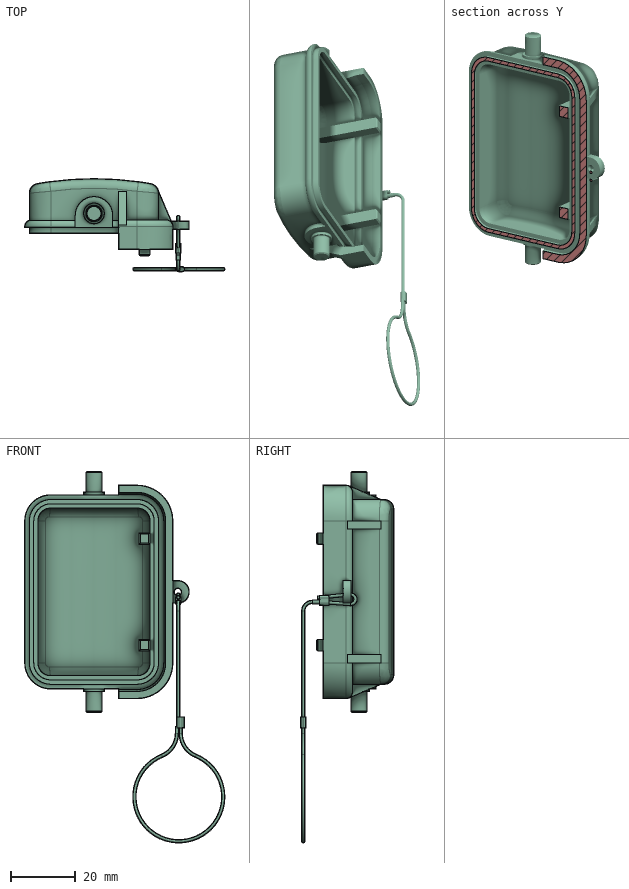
import cadquery as cq
import math


CORE_HALF_X = 13.35
CORE_HALF_Z = 21.95
CAVITY_OFFSET = 4.0
GASKET_OFFSET = 5.3
WALL_OFFSET = 6.65
LIP_OFFSET = 8.1
SHROUD_INNER_OFFSET = 8.85
SHROUD_OFFSET = 11.07
WALL_HALF_X = CORE_HALF_X + WALL_OFFSET
WALL_HALF_Z = CORE_HALF_Z + WALL_OFFSET
SHROUD_HALF_X = CORE_HALF_X + SHROUD_OFFSET

DOME_TOP_Y = 10.78
LIP_BACK_Y = -2.05
LIP_FRONT_Y = -4.4
RIM_Y = -6.2
SHROUD_STEP_Y = -8.4
SHROUD_FRONT_Y = -11.1

DOME_RADIUS = 100.0
CROWN_STOCK = 1.0
WALL_THICKNESS = WALL_OFFSET - CAVITY_OFFSET
FLOOR_THICKNESS = 2.3
DOME_FILLET = 3.0
CAVITY_FILLET = 2.7
LIP_FILLET = 2.0

SHROUD_LEFT_X = 7.6
GROOVE_TAPER_INSET = 0.6
RIB_WIDTH = 2.5
RIB_TOP_Y = 6.8
RIB_FOOT_Y = -3.5
RIB_SPREAD = 4.4
RIB_ROOT = 1.0

PIN_RADIUS = 2.53
PIN_END_Z = 37.25
PIN_CHAMFER = 0.35
COLLAR_RADIUS = 3.2
COLLAR_END_Z = 30.9
BOSS_HALF_WIDTH = 5.8
BOSS_TOP_Y = 5.2
BOSS_END_Z = CORE_HALF_Z + LIP_OFFSET

PEG_INNER_X = 13.95
PEG_OUTER_X = CORE_HALF_X + CAVITY_OFFSET
PEG_CENTER_Z = 16.5
PEG_HEIGHT = 3.6
PEG_FRONT_Y = -13.15
PEG_ROOT_Y = 8.0
PEG_END_CHAMFER = 0.4

TAB_CENTER_X = 25.95
TAB_RADIUS = 3.5
TAB_BACK_Y = -2.4
TAB_FRONT_Y = -4.9
TAB_HOLE_RADIUS = 1.1

WIRE_RADIUS = 0.5
WIRE_X = 26.1
WIRE_Y = -17.25
EYE_RADIUS = 1.5
EYE_CENTER_Y = -2.6
EYE_CENTER_Z = -2.3
UPPER_SLEEVE_Y = (-9.3, -12.2)
UPPER_SLEEVE_Z = (-4.2, -1.1)
SLEEVE_THICKNESS = 1.6
SLEEVE_FILLET = 0.72
TAIL_END_Y = -12.9
TAIL_Z = -1.7
LEAD_Z = -3.1
COLLET_RADIUS = 0.65
COLLET_END_Y = -14.4
LOWER_SLEEVE_X = (25.6, 27.95)
LOWER_SLEEVE_Z = (-42.1, -38.7)
RING_RADIUS = 13.75
RING_CENTER_X = 26.26
RING_CENTER_Z = -63.44
NECK_RADIUS = 7.5
LEG_HALF_SPACING = 0.6


def outline_prism(offset, start_y, end_y, taper=0):
    """Prism on the core outline grown by offset, from start_y to end_y, narrowing by the taper angle."""
    outline = (
        cq.Sketch()
        .rect(2 * (CORE_HALF_X + offset), 2 * (CORE_HALF_Z + offset))
        .vertices()
        .fillet(offset)
    )
    start_plane = cq.Workplane("XZ", origin=(0, start_y, 0))
    return start_plane.placeSketch(outline).extrude(start_y - end_y, taper=taper)


def block(x_range, y_range, z_range):
    """Axis-aligned box between pairs of limits."""
    sizes = [max(limits) - min(limits) for limits in (x_range, y_range, z_range)]
    corner = tuple(min(limits) for limits in (x_range, y_range, z_range))
    return cq.Workplane("XY", origin=corner).box(*sizes, centered=False)


def rod(start, end, radius):
    """Round rod between two points."""
    direction = cq.Vector(*end) - cq.Vector(*start)
    return cq.Workplane(cq.Solid.makeCylinder(radius, direction.Length, cq.Vector(*start), direction))


def domed_prism(offset, crown_y, front_y, edge_fillet):
    """Outline prism with a back face arched about the Z direction and rounded all round."""
    arch = (
        cq.Workplane("XY", origin=(0, crown_y - DOME_RADIUS, 0))
        .circle(DOME_RADIUS)
        .extrude(CORE_HALF_Z + SHROUD_OFFSET, both=True)
    )
    crowned = outline_prism(offset, crown_y + CROWN_STOCK, front_y).intersect(arch)
    back_face = crowned.faces(cq.selectors.NearestToPointSelector((0, crown_y, 0)))
    return back_face.edges().fillet(edge_fillet)


def flange(offset, front_y):
    """Plate behind front_y whose back edge is rounded."""
    return outline_prism(offset, LIP_BACK_Y, front_y).faces(">Y").edges().fillet(LIP_FILLET)


def make_shroud():
    """Raised half-wall around the +X side, open toward -X."""
    shroud = flange(SHROUD_OFFSET, SHROUD_FRONT_Y)
    left_part = block(
        (-SHROUD_HALF_X, SHROUD_LEFT_X),
        (SHROUD_FRONT_Y, LIP_BACK_Y),
        (-CORE_HALF_Z - SHROUD_OFFSET, CORE_HALF_Z + SHROUD_OFFSET),
    )
    mouth = outline_prism(SHROUD_INNER_OFFSET, SHROUD_STEP_Y, SHROUD_FRONT_Y)
    taper = math.degrees(math.atan(GROOVE_TAPER_INSET / (LIP_FRONT_Y - SHROUD_STEP_Y)))
    groove = outline_prism(SHROUD_INNER_OFFSET, SHROUD_STEP_Y, LIP_FRONT_Y, taper)
    return shroud.cut(left_part).cut(mouth).cut(groove)


def make_rib_profile(workplane, wall):
    """Triangular rib outline standing on a wall, with local axes (distance outward, Y)."""
    return workplane.polyline(
        [
            (wall - RIB_ROOT, RIB_TOP_Y),
            (wall, RIB_TOP_Y),
            (wall + RIB_SPREAD, RIB_FOOT_Y),
            (wall - RIB_ROOT, RIB_FOOT_Y),
        ]
    ).close()


def make_ribs():
    """Ribs bracing the shroud against the +Z and -Z walls and, near both corners, the +X wall."""
    upper_plane = cq.Plane(origin=(SHROUD_LEFT_X, 0, 0), xDir=(0, 0, 1), normal=(-1, 0, 0))
    upper = make_rib_profile(cq.Workplane(upper_plane), WALL_HALF_Z).extrude(-RIB_WIDTH)
    side = make_rib_profile(cq.Workplane("XY", origin=(0, 0, CORE_HALF_Z)), WALL_HALF_X).extrude(-RIB_WIDTH)
    upper_ribs = upper.union(side)
    return upper_ribs.union(upper_ribs.mirror("XY"))


def make_upper_pin():
    """Trunnion pin with its collar and D-shaped boss on the +Z wall."""
    root_z = WALL_HALF_Z - WALL_THICKNESS / 2
    arc_center_y = BOSS_TOP_Y - BOSS_HALF_WIDTH
    boss = (
        cq.Workplane("XY", origin=(0, 0, root_z))
        .moveTo(-BOSS_HALF_WIDTH, LIP_FRONT_Y)
        .lineTo(-BOSS_HALF_WIDTH, arc_center_y)
        .threePointArc((0, BOSS_TOP_Y), (BOSS_HALF_WIDTH, arc_center_y))
        .lineTo(BOSS_HALF_WIDTH, LIP_FRONT_Y)
        .close()
        .extrude(BOSS_END_Z - root_z)
    )
    collar = rod((0, 0, root_z), (0, 0, COLLAR_END_Z), COLLAR_RADIUS)
    pin = rod((0, 0, root_z), (0, 0, PIN_END_Z), PIN_RADIUS).faces(">Z").chamfer(PIN_CHAMFER)
    return boss.union(collar).union(pin)


def make_upper_peg():
    """Square locating peg that stands on the cavity floor against the +X cavity wall."""
    peg = block(
        (PEG_INNER_X, PEG_OUTER_X),
        (PEG_FRONT_Y, PEG_ROOT_Y),
        (PEG_CENTER_Z - PEG_HEIGHT / 2, PEG_CENTER_Z + PEG_HEIGHT / 2),
    )
    return peg.faces("<Y").chamfer(PEG_END_CHAMFER)


def make_tab():
    """Round-ended tab on the +X side with the lanyard hole, kept out of the groove inside the shroud."""
    root_x = WALL_HALF_X
    plate = block((root_x, TAB_CENTER_X), (TAB_FRONT_Y, TAB_BACK_Y), (-TAB_RADIUS, TAB_RADIUS))
    nose = rod((TAB_CENTER_X, TAB_BACK_Y, 0), (TAB_CENTER_X, TAB_FRONT_Y, 0), TAB_RADIUS)
    hole = rod((TAB_CENTER_X, TAB_BACK_Y, 0), (TAB_CENTER_X, TAB_FRONT_Y, 0), TAB_HOLE_RADIUS)
    groove_clearance = block(
        (root_x, SHROUD_HALF_X - LIP_FILLET), (TAB_FRONT_Y, LIP_FRONT_Y), (-TAB_RADIUS, TAB_RADIUS)
    )
    return plate.union(nose).cut(hole).cut(groove_clearance)


def make_wire(path, start_y, start_z):
    """Round wire swept along a path in the plane X = WIRE_X that starts along the Y direction."""
    return cq.Workplane("XZ", origin=(WIRE_X, start_y, start_z)).circle(WIRE_RADIUS).sweep(path)


def make_eye():
    """Wire eye through the tab hole, its two ends and the upper sleeve that clamps them."""
    sleeve_front = UPPER_SLEEVE_Y[1]
    upper_z = EYE_CENTER_Z + EYE_RADIUS
    lower_z = EYE_CENTER_Z - EYE_RADIUS
    bend = (
        cq.Workplane("YZ", origin=(WIRE_X, 0, 0))
        .moveTo(EYE_CENTER_Y, upper_z)
        .threePointArc((EYE_CENTER_Y + EYE_RADIUS, EYE_CENTER_Z), (EYE_CENTER_Y, lower_z))
    )
    eye = make_wire(bend, EYE_CENTER_Y, upper_z)
    for eye_z, end_z in ((upper_z, TAIL_Z), (lower_z, LEAD_Z)):
        eye = eye.union(rod((WIRE_X, EYE_CENTER_Y, eye_z), (WIRE_X, sleeve_front, end_z), WIRE_RADIUS))
    tail = rod((WIRE_X, sleeve_front, TAIL_Z), (WIRE_X, TAIL_END_Y, TAIL_Z), WIRE_RADIUS)
    collet = rod((WIRE_X, sleeve_front, LEAD_Z), (WIRE_X, COLLET_END_Y, LEAD_Z), COLLET_RADIUS)
    sleeve = block(
        (WIRE_X - SLEEVE_THICKNESS / 2, WIRE_X + SLEEVE_THICKNESS / 2), UPPER_SLEEVE_Y, UPPER_SLEEVE_Z
    )
    sleeve = sleeve.edges("|Y").fillet(SLEEVE_FILLET)
    return eye.union(tail).union(collet).union(sleeve)


def make_lead():
    """Wire that leaves the upper sleeve toward -Y, turns down and enters the lower sleeve."""
    bend_radius = COLLET_END_Y - WIRE_Y
    bend_middle = bend_radius * math.sqrt(0.5)
    path = (
        cq.Workplane("YZ", origin=(WIRE_X, 0, 0))
        .moveTo(UPPER_SLEEVE_Y[1], LEAD_Z)
        .lineTo(COLLET_END_Y, LEAD_Z)
        .threePointArc(
            (COLLET_END_Y - bend_middle, LEAD_Z - bend_radius + bend_middle),
            (WIRE_Y, LEAD_Z - bend_radius),
        )
        .lineTo(WIRE_Y, LOWER_SLEEVE_Z[0])
    )
    return make_wire(path, UPPER_SLEEVE_Y[1], LEAD_Z)


def make_ring():
    """Wire ring whose two ends neck together and run up side by side into the lower sleeve."""
    neck_angle = math.asin((NECK_RADIUS + LEG_HALF_SPACING) / (RING_RADIUS + NECK_RADIUS))
    neck_distance = RING_RADIUS + NECK_RADIUS
    leg_z = RING_CENTER_Z + neck_distance * math.cos(neck_angle)
    middle_angle = (neck_angle + math.pi / 2) / 2

    def ring_point(side, radius, angle):
        """Point at an angle from the ring top, on the chosen side of its axis."""
        return RING_CENTER_X + side * radius * math.sin(angle), RING_CENTER_Z + radius * math.cos(angle)

    def neck_middle(side):
        """Middle point of the reversed arc that joins the ring to a leg."""
        center_x, center_z = ring_point(side, neck_distance, neck_angle)
        return (
            center_x - side * NECK_RADIUS * math.sin(middle_angle),
            center_z - NECK_RADIUS * math.cos(middle_angle),
        )

    left_leg_x = RING_CENTER_X - LEG_HALF_SPACING
    right_leg_x = RING_CENTER_X + LEG_HALF_SPACING
    leg_top_z = LOWER_SLEEVE_Z[0] + WIRE_RADIUS
    path = (
        cq.Workplane("XZ", origin=(0, WIRE_Y, 0))
        .moveTo(left_leg_x, leg_top_z)
        .lineTo(left_leg_x, leg_z)
        .threePointArc(neck_middle(-1), ring_point(-1, RING_RADIUS, neck_angle))
        .threePointArc(ring_point(1, RING_RADIUS, math.pi), ring_point(1, RING_RADIUS, neck_angle))
        .threePointArc(neck_middle(1), (right_leg_x, leg_z))
        .lineTo(right_leg_x, leg_top_z)
    )
    ring = cq.Workplane("XY", origin=(left_leg_x, WIRE_Y, leg_top_z)).circle(WIRE_RADIUS).sweep(path)
    sleeve = block(
        LOWER_SLEEVE_X, (WIRE_Y - SLEEVE_THICKNESS / 2, WIRE_Y + SLEEVE_THICKNESS / 2), LOWER_SLEEVE_Z
    )
    return ring.union(sleeve.edges("|Z").fillet(SLEEVE_FILLET))


cavity = domed_prism(CAVITY_OFFSET, DOME_TOP_Y - FLOOR_THICKNESS, RIM_Y, CAVITY_FILLET)
gasket_seat = outline_prism(GASKET_OFFSET, LIP_FRONT_Y, RIM_Y)
upper_pin = make_upper_pin()
upper_peg = make_upper_peg()

result = domed_prism(WALL_OFFSET, DOME_TOP_Y, RIM_Y, DOME_FILLET)
result = result.union(flange(LIP_OFFSET, LIP_FRONT_Y))
result = result.union(make_shroud()).union(make_ribs())
result = result.union(upper_pin).union(upper_pin.mirror("XY"))
result = result.cut(cavity).cut(gasket_seat)
result = result.union(upper_peg).union(upper_peg.mirror("XY"))
result = result.union(make_tab()).union(make_eye()).union(make_lead()).union(make_ring())